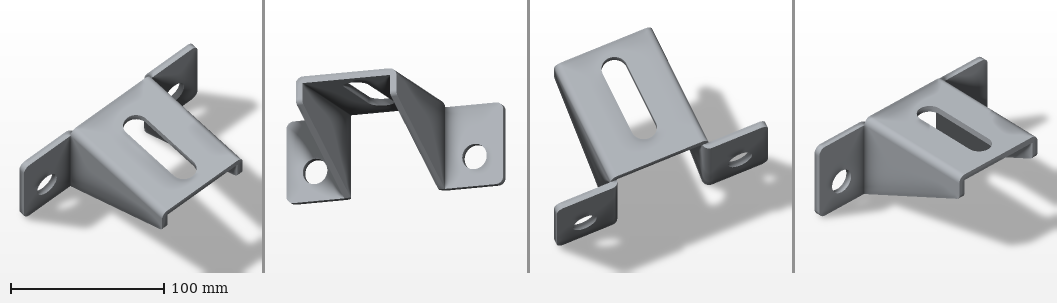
import cadquery as cq
import math

total_length = 94.5
total_width = 151.0
total_height = 60.0
thickness = 4.5
bend_radius = 5.0
channel_width = 70.0
tab_corner_radius = 5.0

hole_diameter = 17.0
hole_spacing = 111.0
hole_height = 20.0

slot_width = 17.0
slot_length = 63.5
slot_end_margin = 10.0

web_end_height = 17.4
web_corner_radius = 4.0

inner_radius = bend_radius - thickness
channel_inside = channel_width - 2 * thickness
tab_height = total_height - bend_radius
tab_bend_edge = channel_width / 2 + inner_radius
plate_length = total_length - thickness


def make_channel():
    """Inverted U: top plate and both webs, with rounded bends along X."""
    outer = (
        cq.Workplane("XY")
        .box(plate_length, channel_width, total_height, centered=(False, True, False))
        .edges("|X and >Z")
        .fillet(bend_radius)
    )
    inner = (
        cq.Workplane("XY")
        .box(plate_length, channel_inside, total_height - thickness, centered=(False, True, False))
        .edges("|X and >Z")
        .fillet(inner_radius)
    )
    return outer.cut(inner).translate((thickness, 0, 0))


def trim_webs(channel):
    """Slope the lower web edges up to a rounded corner and end the webs at the tab bends."""
    side_profile = (
        cq.Workplane("XZ")
        .moveTo(bend_radius, 0)
        .lineTo(total_length, total_height - web_end_height)
        .lineTo(total_length, total_height)
        .lineTo(thickness, total_height)
        .lineTo(thickness, tab_height)
        .lineTo(bend_radius, tab_height)
        .close()
        .extrude(channel_width / 2, both=True)
    )
    lower_corner = cq.selectors.NearestToPointSelector((total_length, 0, total_height - web_end_height))
    return channel.intersect(side_profile.edges(lower_corner).fillet(web_corner_radius))


def make_tab():
    """Mounting tab on the +Y side, with its bend into the web and its bolt hole."""
    web_inside = channel_inside / 2
    web_outside = channel_width / 2
    diagonal = math.cos(math.radians(45))
    outer_middle = bend_radius * diagonal
    inner_middle = inner_radius * diagonal
    tab = (
        cq.Workplane("XY")
        .moveTo(bend_radius, web_inside)
        .threePointArc((bend_radius - outer_middle, tab_bend_edge - outer_middle), (0, tab_bend_edge))
        .lineTo(0, total_width / 2)
        .lineTo(thickness, total_width / 2)
        .lineTo(thickness, tab_bend_edge)
        .threePointArc(
            (bend_radius - inner_middle, tab_bend_edge - inner_middle),
            (bend_radius, web_outside),
        )
        .close()
        .extrude(tab_height)
    )
    tab = tab.edges("|X and >Y").fillet(tab_corner_radius)
    hole = (
        cq.Workplane("YZ")
        .center(hole_spacing / 2, hole_height)
        .circle(hole_diameter / 2)
        .extrude(thickness)
    )
    return tab.cut(hole)


def make_slot():
    """Cutter for the long slot through the top plate."""
    slot_center = total_length - slot_end_margin - slot_length / 2
    return (
        cq.Workplane("XY")
        .workplane(offset=total_height - thickness)
        .center(slot_center, 0)
        .slot2D(slot_length, slot_width)
        .extrude(thickness)
    )


channel = trim_webs(make_channel()).cut(make_slot())
tab = make_tab()
result = channel.union(tab).union(tab.mirror("XZ"))